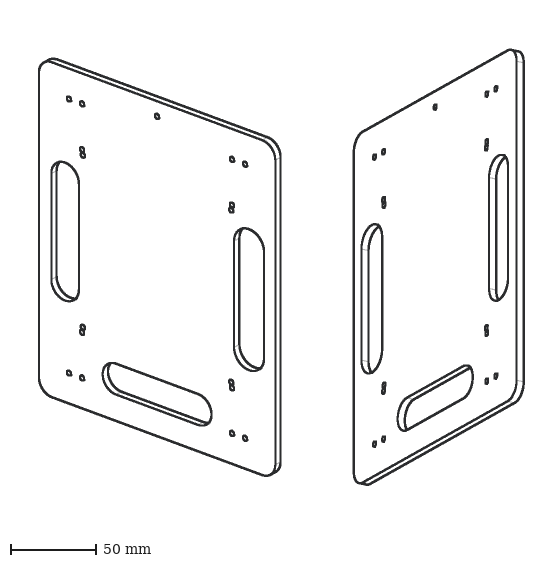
import cadquery as cq

plate_width = 180.0
plate_height = 220.0
plate_thickness = 5.0
corner_radius = 10.0

side_slot_x = 70.0
side_slot_z = 2.0
left_slot_length = 90.5
left_slot_width = 20.9
right_slot_length = 92.5
right_slot_width = 22.75
bottom_slot_z = -82.5
bottom_slot_length = 82.75
bottom_slot_width = 20.2

hole_diameter = 3.2
pin_diameter = hole_diameter
hanging_hole_z = 100.0
inner_column_x = 57.0
outer_column_x = 67.0
mounting_row_z = 90.0
pin_row_z = 60.0
pin_side_hole_x = 56.5
pin_side_hole_z = 56.5


def four_corners(x, z):
    """Points mirrored about both centre lines of the plate."""
    return [(sx * x, sz * z) for sx in (-1, 1) for sz in (-1, 1)]


def extrude_through(sketch):
    """Extrude an XZ sketch over the plate thickness, centred on Y = 0."""
    return sketch.extrude(plate_thickness / 2, both=True)


def cylinders(points, diameter):
    """Cylinders along Y at the given (x, z) points."""
    return extrude_through(cq.Workplane("XZ").pushPoints(points).circle(diameter / 2))


def slot(x, z, length, width, angle):
    """Round-ended slot; an angle of 90 degrees stands it upright."""
    return extrude_through(cq.Workplane("XZ").center(x, z).slot2D(length, width, angle))


def make_plate(pin_positions):
    plate = extrude_through(cq.Workplane("XZ").rect(plate_width, plate_height))
    plate = plate.edges("|Y").fillet(corner_radius)

    plate = plate.cut(slot(-side_slot_x, side_slot_z, left_slot_length, left_slot_width, 90))
    plate = plate.cut(slot(side_slot_x, side_slot_z, right_slot_length, right_slot_width, 90))
    plate = plate.cut(slot(0, bottom_slot_z, bottom_slot_length, bottom_slot_width, 0))

    open_holes = [(0, hanging_hole_z)]
    open_holes += four_corners(inner_column_x, mounting_row_z)
    open_holes += four_corners(outer_column_x, mounting_row_z)
    open_holes += four_corners(pin_side_hole_x, pin_side_hole_z)
    plate = plate.cut(cylinders(open_holes, hole_diameter))

    return plate.cut(cylinders(pin_positions, pin_diameter))


def make_pin(position):
    """Pin flush with both faces of the plate."""
    return cylinders([position], pin_diameter)


pin_positions = four_corners(inner_column_x, pin_row_z)
plate = make_plate(pin_positions)
pins = [make_pin(position) for position in pin_positions]

result = cq.Compound.makeCompound([plate.val(), *[pin.val() for pin in pins]])